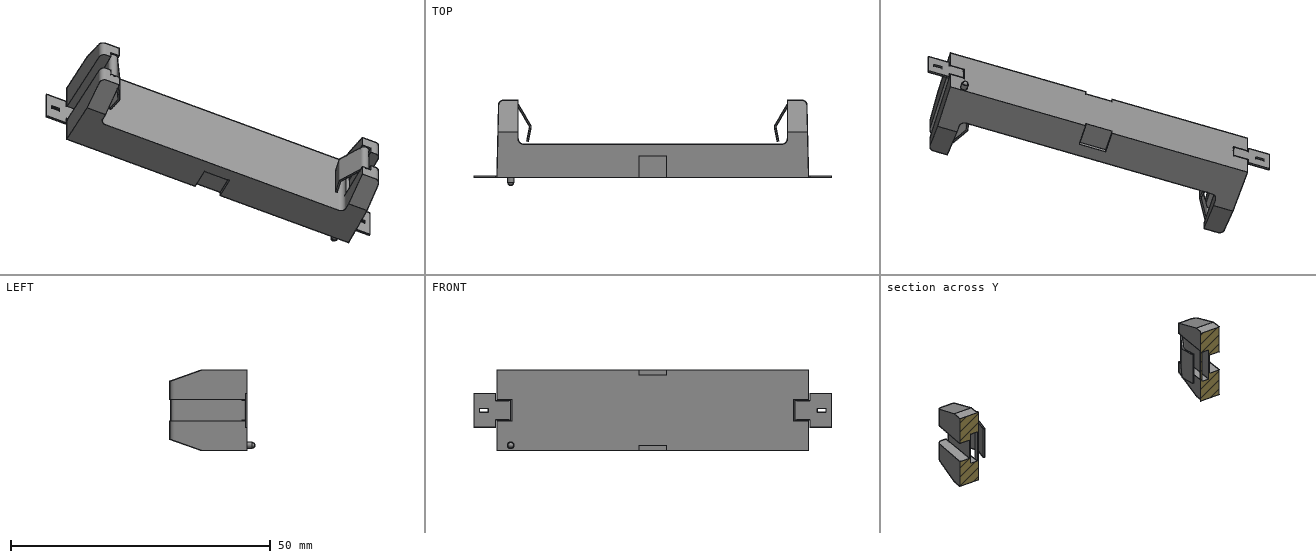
import cadquery as cq
import math


overall_length = 68.85

body_length = 60.05
body_depth = 14.95
body_width = 15.55
end_draft = 0.35
base_depth = 6.5
arm_thickness = 4.1
arm_root_radius = 1.0
arm_tip_radius = 1.0
taper_start = 8.75
arm_tip_width = 11.15

notch_length = 5.3
notch_height = 4.1
notch_depth = 0.95

sheet = 0.35
tab_width = 6.55
neck_width = 3.7
shoulder_gap = 0.2
strip_depth = 2.35
tab_bend_radius = 0.2
top_bend_radius = 0.8
top_drop = 0.2
spring_top_offset = 0.4
elbow_reach = 2.35
elbow_y = 9.85
elbow_radius = 0.35
spring_end_reach = 1.8
spring_end_y = 7.0
solder_slot_length = 1.65
solder_slot_width = 0.7
solder_slot_inset = 1.9

channel_width = 4.05
channel_depth = 2.9
strip_slot_floor = 1.0

peg_diameter = 1.3
peg_length = 1.5
peg_dome_radius = 0.55
peg_end_inset = 2.7
peg_side_inset = 1.0

half_length = body_length / 2
arm_inner_x = half_length - arm_thickness


def box(x_range, y_range, width):
    """Block spanning the given X and Y ranges, centred on Z = 0."""
    (x0, x1), (y0, y1) = x_range, y_range
    return cq.Workplane("XY").box(x1 - x0, y1 - y0, width, centered=(False, False, True)).translate((x0, y0, 0))


def mirrored(shape):
    """The shape together with its copy at the other end of the body."""
    return shape.union(shape.mirror("YZ"))


def bent_path(points, radii):
    """Polyline whose inner corners are rounded, one radius per corner."""
    path = cq.Workplane("XY").moveTo(*points[0])
    for before, corner, after, radius in zip(points, points[1:], points[2:], radii):
        corner = cq.Vector(*corner)
        back = (cq.Vector(*before) - corner).normalized()
        ahead = (cq.Vector(*after) - corner).normalized()
        half_angle = back.getAngle(ahead) / 2
        tangent = radius / math.tan(half_angle)
        bisector = (back + ahead).normalized()
        middle = corner + bisector * (radius / math.sin(half_angle) - radius)
        start = corner + back * tangent
        end = corner + ahead * tangent
        path = path.lineTo(start.x, start.y).threePointArc((middle.x, middle.y), (end.x, end.y))
    return path.lineTo(*points[-1])


def make_body():
    tip_x = half_length - end_draft
    profile = (
        cq.Workplane("XY")
        .polyline([
            (-half_length, 0), (half_length, 0),
            (tip_x, body_depth), (arm_inner_x, body_depth),
            (arm_inner_x, base_depth), (-arm_inner_x, base_depth),
            (-arm_inner_x, body_depth), (-tip_x, body_depth),
        ])
        .close()
        .extrude(body_width / 2, both=True)
    )
    profile = profile.edges("|Z and >Y").edges("<X or >X").fillet(arm_tip_radius)
    root_edges = cq.selectors.BoxSelector(
        (-half_length, base_depth - arm_root_radius, -body_width),
        (half_length, base_depth + arm_root_radius, body_width),
    )
    profile = profile.edges("|Z").edges(root_edges).fillet(arm_root_radius)

    cross_section = (
        cq.Workplane("YZ")
        .polyline([
            (0, -body_width / 2), (taper_start, -body_width / 2),
            (body_depth, -arm_tip_width / 2), (body_depth, arm_tip_width / 2),
            (taper_start, body_width / 2), (0, body_width / 2),
        ])
        .close()
        .extrude(half_length, both=True)
    )
    return profile.intersect(cross_section)


def make_side_notches():
    notch = box((-notch_length / 2, notch_length / 2), (0, notch_height), 2 * notch_depth)
    upper = notch.translate((0, 0, body_width / 2))
    return upper.union(upper.mirror("XY"))


def make_contact_slots():
    """Narrow channel up the end face, a wide slot behind it, and the arm's opening for the spring."""
    channel = box((-half_length, -half_length + channel_depth), (0, body_depth), channel_width)
    slot_x = -half_length + strip_depth
    strip_slot = box((slot_x, -half_length + channel_depth), (strip_slot_floor, body_depth), tab_width)
    spring_opening = box((slot_x, -arm_inner_x), (base_depth, body_depth), tab_width)
    return mirrored(channel.union(strip_slot).union(spring_opening))


def make_contacts():
    """Solder tab, strip rising through the slot, and the spring folded over towards the battery."""
    strip_outer_x = -half_length + strip_depth
    strip_inner_x = strip_outer_x + sheet
    tab = box((-overall_length / 2, strip_inner_x), (0, sheet), tab_width)

    strip_x = strip_outer_x + sheet / 2
    top_y = body_depth - top_drop - sheet / 2
    center_radius = top_bend_radius - sheet / 2
    path = bent_path(
        [
            (strip_x, 0),
            (strip_x, top_y),
            (-arm_inner_x - spring_top_offset, top_y),
            (-arm_inner_x + elbow_reach, elbow_y),
            (-arm_inner_x + spring_end_reach, spring_end_y),
        ],
        [center_radius, center_radius, elbow_radius],
    )
    spring = cq.Workplane("XZ", origin=(strip_x, 0, 0)).rect(sheet, tab_width).sweep(path)

    neck_x = (-half_length - shoulder_gap, strip_inner_x)
    neck_y = (0, strip_slot_floor)
    beside_neck = box(neck_x, neck_y, tab_width).cut(box(neck_x, neck_y, neck_width))
    bent_sheet = tab.union(spring)
    for bend_corner in [(strip_outer_x, sheet, 0), (strip_inner_x, 0, 0)]:
        bend_edge = bent_sheet.edges(cq.selectors.NearestToPointSelector(bend_corner))
        bent_sheet = bend_edge.fillet(tab_bend_radius)
    contact = bent_sheet.cut(beside_neck)

    slot_x = -overall_length / 2 + solder_slot_inset
    solder_slot = box(
        (slot_x - solder_slot_length / 2, slot_x + solder_slot_length / 2), (0, sheet), solder_slot_width
    )
    return mirrored(contact.cut(solder_slot))


def make_peg():
    peg_x = -half_length + peg_end_inset
    peg_z = -body_width / 2 + peg_side_inset
    shank_length = peg_length - peg_dome_radius
    shank = cq.Workplane("XZ", origin=(peg_x, 0, peg_z)).circle(peg_diameter / 2).extrude(shank_length)
    dome = cq.Workplane("XY").sphere(peg_dome_radius).translate((peg_x, -shank_length, peg_z))
    return shank.union(dome)


body = make_body().cut(make_side_notches()).cut(make_contact_slots())
result = body.union(make_contacts()).union(make_peg())